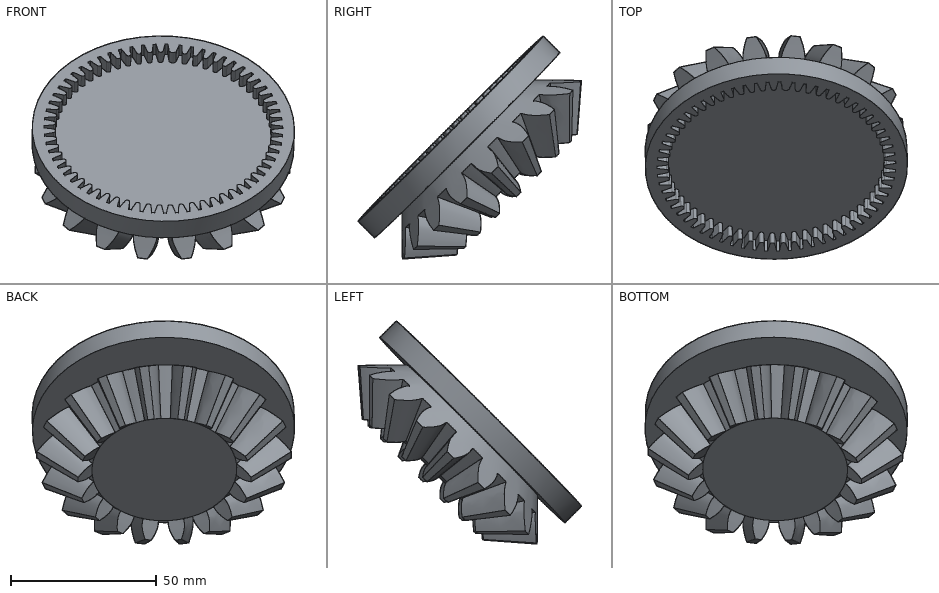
import cadquery as cq
import math

AXIS_TILT = 45.0
TURN_ABOUT_Z = 1.3

PLATE_DIAMETER = 90.1
PLATE_THICKNESS = 8.0

RING_TEETH = 63
RING_TEETH_PER_TURN = 63.2
RING_STEP = 360 / RING_TEETH_PER_TURN
RING_FIRST_GAP = 87.6
RING_DEPTH = 5.0
RING_TIP_RADIUS = 37.1
RING_ROOT_RADIUS = 41.0
RING_TIP_ROUNDING = 0.7
RING_GAP_WIDTH_AT_TIP = 2.1
RING_GAP_WIDTH_AT_ROOT = 1.0

BEVEL_TEETH = 18
BEVEL_MODULE = 4.5
PRESSURE_ANGLE = math.radians(20)
PITCH_ANGLE = math.radians(45)
PITCH_CIRCLE_DEPTH = 8.8
FACE_WIDTH = 18.4
ADDENDUM = BEVEL_MODULE
DEDENDUM = 1.25 * BEVEL_MODULE
FLANK_STEPS = 5
BLANK_HEIGHT = 2 * ADDENDUM
TOOTH_SINK = 0.9
LARGE_END_SCALE = 1.05
SMALL_END_SCALE = 0.6

PITCH_RADIUS = BEVEL_MODULE * BEVEL_TEETH / 2
CONE_DISTANCE = PITCH_RADIUS / math.sin(PITCH_ANGLE)
BACK_CONE_DISTANCE = PITCH_RADIUS / math.cos(PITCH_ANGLE)
APEX_DEPTH = PITCH_CIRCLE_DEPTH + CONE_DISTANCE * math.cos(PITCH_ANGLE)
TOE_SCALE = 1 - FACE_WIDTH / CONE_DISTANCE


def polar(radius, degrees):
    angle = math.radians(degrees)
    return radius * math.cos(angle), radius * math.sin(angle)


def half_angle(width, radius):
    """Half of the angle, in degrees, that a chord of this width spans at this radius."""
    return math.degrees(math.asin(width / 2 / radius))


def ring_recess():
    """Recess bounded by the internal teeth: straight flanks, flat roots and rounded tips."""
    shoulder_radius = RING_TIP_RADIUS + RING_TIP_ROUNDING
    shoulder = half_angle(RING_GAP_WIDTH_AT_TIP, shoulder_radius)
    root = half_angle(RING_GAP_WIDTH_AT_ROOT, RING_ROOT_RADIUS)
    gaps = [RING_FIRST_GAP + i * RING_STEP for i in range(RING_TEETH)]
    next_gaps = gaps[1:] + [gaps[0] + 360]

    outline = cq.Workplane("XY").moveTo(*polar(shoulder_radius, gaps[0] - shoulder))
    for gap, next_gap in zip(gaps, next_gaps):
        outline = (
            outline.lineTo(*polar(RING_ROOT_RADIUS, gap - root))
            .lineTo(*polar(RING_ROOT_RADIUS, gap + root))
            .lineTo(*polar(shoulder_radius, gap + shoulder))
            .threePointArc(
                polar(RING_TIP_RADIUS, (gap + next_gap) / 2),
                polar(shoulder_radius, next_gap - shoulder),
            )
        )
    return outline.close().extrude(RING_DEPTH)


def plate():
    disc = cq.Workplane("XY").circle(PLATE_DIAMETER / 2).extrude(PLATE_THICKNESS)
    return disc.cut(ring_recess().translate((0, 0, PLATE_THICKNESS - RING_DEPTH)))


def back_cone_point(height, scale=1.0):
    """(radius, z) of a point this far outside the pitch circle, measured along the back cone."""
    radius = PITCH_RADIUS + height * math.cos(PITCH_ANGLE)
    z = -PITCH_CIRCLE_DEPTH - height * math.sin(PITCH_ANGLE)
    return radius * scale, (z + APEX_DEPTH) * scale - APEX_DEPTH


def turned(profile):
    return cq.Workplane("XZ").polyline(profile).close().revolve(360, (0, 0, 0), (0, 1, 0))


def bevel_blank():
    """Space between the back cone and the toe, reaching well outside the tooth tips."""
    neck_radius = PITCH_RADIUS - PITCH_CIRCLE_DEPTH / math.tan(PITCH_ANGLE)
    heel = back_cone_point(BLANK_HEIGHT)
    toe = back_cone_point(BLANK_HEIGHT, TOE_SCALE)
    toe_root = back_cone_point(-DEDENDUM, TOE_SCALE)
    return turned([(0, 0), (neck_radius, 0), heel, toe, toe_root, (0, toe_root[1])])


def root_cone():
    """Cone carrying the teeth, from the plate to beyond the toe, narrowing towards the pitch apex."""
    heel_radius, heel_z = back_cone_point(-DEDENDUM)
    plate_radius = heel_radius * APEX_DEPTH / (heel_z + APEX_DEPTH)
    end_radius, end_z = back_cone_point(-DEDENDUM, SMALL_END_SCALE)
    return turned([(0, 0), (plate_radius, 0), (end_radius, end_z), (0, end_z)])


def involute(radius, base_radius):
    pressure = math.acos(base_radius / radius)
    return math.tan(pressure) - pressure


def tooth_flank():
    """Points up one tooth flank on the unrolled back cone, measured from the cone's centre."""
    base_radius = BACK_CONE_DISTANCE * math.cos(PRESSURE_ANGLE)
    tip_radius = BACK_CONE_DISTANCE + ADDENDUM
    base_half_angle = math.pi * BEVEL_MODULE / 4 / BACK_CONE_DISTANCE
    base_half_angle += involute(BACK_CONE_DISTANCE, base_radius)

    root_radius = BACK_CONE_DISTANCE - DEDENDUM - TOOTH_SINK
    points = [polar(root_radius, math.degrees(base_half_angle))]
    for i in range(FLANK_STEPS + 1):
        radius = base_radius + (tip_radius - base_radius) * i / FLANK_STEPS
        points.append(polar(radius, math.degrees(base_half_angle - involute(radius, base_radius))))
    return points


def tooth_section(scale):
    """Closed tooth outline in the plane touching the back cone, scaled towards the pitch apex."""
    back_cone_apex = BACK_CONE_DISTANCE * math.sin(PITCH_ANGLE) - PITCH_CIRCLE_DEPTH
    plane = cq.Plane(
        origin=(0, 0, (back_cone_apex + APEX_DEPTH) * scale - APEX_DEPTH),
        xDir=(math.cos(PITCH_ANGLE), 0, -math.sin(PITCH_ANGLE)),
        normal=(math.sin(PITCH_ANGLE), 0, math.cos(PITCH_ANGLE)),
    )
    rising = [(x * scale, -y * scale) for x, y in tooth_flank()]
    falling = [(x, -y) for x, y in reversed(rising)]
    outline = (
        cq.Workplane(plane)
        .moveTo(*rising[0])
        .spline(rising[1:], includeCurrent=True)
        .lineTo(*falling[0])
        .spline(falling[1:], includeCurrent=True)
        .close()
    )
    return outline.val()


def bevel_gear():
    ends = [tooth_section(LARGE_END_SCALE), tooth_section(SMALL_END_SCALE)]
    tooth = cq.Workplane(cq.Solid.makeLoft(ends, True))
    gear = root_cone()
    for i in range(BEVEL_TEETH):
        gear = gear.union(tooth.rotate((0, 0, 0), (0, 0, 1), i * 360 / BEVEL_TEETH))
    return gear.intersect(bevel_blank())


result = (
    plate()
    .union(bevel_gear())
    .rotate((0, 0, 0), (1, 0, 0), AXIS_TILT)
    .rotate((0, 0, 0), (0, 0, 1), TURN_ABOUT_Z)
)